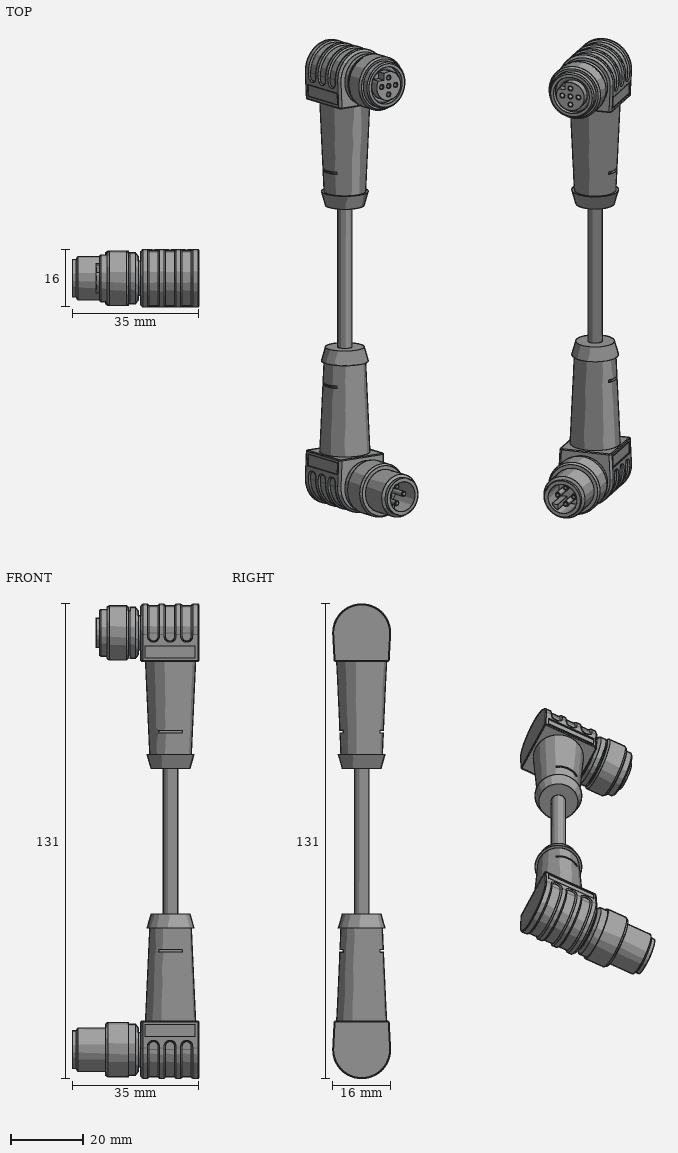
import cadquery as cq
import math


TOTAL_HEIGHT = 131.0
CABLE_DIAMETER = 4.0

HOUSING_RADIUS = 8.0
HOUSING_LEFT = -8.2
HOUSING_RIGHT = 7.9
HOUSING_DEPTH = 7.9
SIDE_DRAFT = math.radians(3)
FRONT_CHAMFER = 0.7
BACK_CHAMFER = 0.3
BASE_CHAMFER = 0.3
AXIS_HEIGHT = TOTAL_HEIGHT / 2 - HOUSING_RADIUS

GROOVE_COUNT = 3
GROOVE_PITCH = 4.6
GROOVE_MIDDLE = -0.1
GROOVE_FLOOR_WIDTH = 2.5
GROOVE_FLOOR_RADIUS = 15.0 / 2
GROOVE_SIDE_ANGLE = 45
GROOVE_FLOOR_END = -2.2
CUT_DEPTH = 0.8

PANEL_LENGTH = 13.9
PANEL_HEIGHT = 3.3
PANEL_CENTER_X = -0.1
PANEL_CENTER_Z = -5.2
PANEL_FLOOR = 7.5

SLEEVE_TOP_RADIUS = 7.0
SLEEVE_BOTTOM_RADIUS = 5.8
SLEEVE_BOTTOM = -33.5
COLLAR_RADIUS = 13.0 / 2
COLLAR_END_RADIUS = 5.4
COLLAR_LENGTH = 3.9
NOTCH_CENTER_Z = -27.2
NOTCH_HEIGHT = 0.7
NOTCH_FLOOR = 5.1

NECK_RADIUS = 9.5 / 2
WAIST_RADIUS = 6.2
RING_RADIUS = 7.1
RING_TAPER_RADIUS = 6.0
NUT_RADIUS = 15.0 / 2
NUT_FRONT_RADIUS = 7.1
NUT_FRONT_TAPER = 0.7
SOCKET_NUT_BACK_CHAMFER = 0.5
RING_TAPER_END = -8.9
RING_BACK = -9.7
RING_FRONT = -11.1
NUT_BACK = -11.7
SOCKET_NUT_FRONT = -17.5
PIN_NUT_FRONT = -18.0

SOCKET_RADIUS = 13.0 / 2
SOCKET_FRONT = -19.6
SOCKET_CHAMFER = 0.4
SOCKET_BORE_RADIUS = 5.2
SOCKET_BORE_DEPTH = 1.8
INSERT_RADIUS = 4.0
INSERT_FRONT = -20.5
SEAL_RADIUS = (SOCKET_BORE_RADIUS + INSERT_RADIUS) / 2
SEAL_WIRE_RADIUS = 0.7
CONTACT_CIRCLE_RADIUS = 2.4
HOLE_DIAMETER = 1.15
HOLE_MOUTH_DIAMETER = 1.5
HOLE_DEPTH = 2.6
KEYWAY_DEPTH = 2.6

PIN_TUBE_RADIUS = 6.0
PIN_TIP_RADIUS = 5.2
PIN_TUBE_FRONT = -27.1
PIN_TIP_LENGTH = 1.0
PIN_TIP_TAPER = 0.5
PIN_BORE_RADIUS = 4.2
PIN_BORE_DEPTH = 8.9
PIN_DIAMETER = 1.5
PIN_LENGTH = 6.3
PIN_TIP_DIAMETER = 1.0

KEYWAY_CORNER = (1.6, 1.8)
KEY_CORNER = (1.8, 2.2)
KEY_SETBACK = 1.3
KEY_ROOT = 0.3


def turned_about_x(profile):
    """Solid of revolution about the plug axis from (x, radius) points."""
    return cq.Workplane("XZ").polyline(profile).close().revolve(360, (0, 0), (1, 0))


def turned_about_z(profile):
    """Solid of revolution about the cable axis from (radius, z) points."""
    return cq.Workplane("XZ").polyline(profile).close().revolve(360, (0, 0), (0, 1))


def rod_along_x(diameter, start_x, end_x, y=0.0, z=0.0):
    return (
        cq.Workplane("YZ", origin=(start_x, 0, 0))
        .center(y, z)
        .circle(diameter / 2)
        .extrude(end_x - start_x)
    )


def groove_cutter(center_x):
    """Trapezoid groove over the round top that runs down to a round end on each side."""
    outer_radius = GROOVE_FLOOR_RADIUS + CUT_DEPTH
    floor_half = GROOVE_FLOOR_WIDTH / 2
    spread = CUT_DEPTH * math.tan(math.radians(GROOVE_SIDE_ANGLE))
    arch = (
        cq.Workplane("XY")
        .polyline([
            (center_x - floor_half, GROOVE_FLOOR_RADIUS),
            (center_x + floor_half, GROOVE_FLOOR_RADIUS),
            (center_x + floor_half + spread, outer_radius),
            (center_x - floor_half - spread, outer_radius),
        ])
        .close()
        .revolve(180, (0, 0), (1, 0))
    )
    arc_center = GROOVE_FLOOR_END + floor_half
    side = (
        cq.Workplane("XZ", origin=(0, -GROOVE_FLOOR_RADIUS, 0))
        .moveTo(center_x - floor_half, 0)
        .lineTo(center_x - floor_half, arc_center)
        .threePointArc((center_x, GROOVE_FLOOR_END), (center_x + floor_half, arc_center))
        .lineTo(center_x + floor_half, 0)
        .close()
        .extrude(CUT_DEPTH, taper=-GROOVE_SIDE_ANGLE)
    )
    return arch.union(side).union(side.mirror("XZ"))


def make_housing():
    tangent_y = HOUSING_RADIUS * math.cos(SIDE_DRAFT)
    tangent_z = -HOUSING_RADIUS * math.sin(SIDE_DRAFT)
    base_half_width = tangent_y - (HOUSING_DEPTH + tangent_z) * math.tan(SIDE_DRAFT)
    housing = (
        cq.Workplane("YZ", origin=(HOUSING_LEFT, 0, 0))
        .moveTo(-tangent_y, tangent_z)
        .threePointArc((0, HOUSING_RADIUS), (tangent_y, tangent_z))
        .lineTo(base_half_width, -HOUSING_DEPTH)
        .lineTo(-base_half_width, -HOUSING_DEPTH)
        .close()
        .extrude(HOUSING_RIGHT - HOUSING_LEFT)
    )
    housing = housing.faces("<X").edges("not <Z").chamfer(FRONT_CHAMFER)
    housing = housing.faces(">X").edges("not <Z").chamfer(BACK_CHAMFER)
    housing = housing.faces("<Z").chamfer(BASE_CHAMFER)

    for index in range(GROOVE_COUNT):
        offset = (index - (GROOVE_COUNT - 1) / 2) * GROOVE_PITCH
        housing = housing.cut(groove_cutter(GROOVE_MIDDLE + offset))

    panel = (
        cq.Workplane("XZ", origin=(0, -PANEL_FLOOR, 0))
        .center(PANEL_CENTER_X, PANEL_CENTER_Z)
        .rect(PANEL_LENGTH, PANEL_HEIGHT)
        .extrude(CUT_DEPTH)
    )
    return housing.cut(panel).cut(panel.mirror("XZ"))


def make_sleeve():
    collar_end = SLEEVE_BOTTOM - COLLAR_LENGTH
    sleeve = turned_about_z([
        (0, -HOUSING_DEPTH),
        (SLEEVE_TOP_RADIUS, -HOUSING_DEPTH),
        (SLEEVE_BOTTOM_RADIUS, SLEEVE_BOTTOM),
        (COLLAR_RADIUS, SLEEVE_BOTTOM),
        (COLLAR_END_RADIUS, collar_end),
        (0, collar_end),
    ])
    notch = (
        cq.Workplane("XZ", origin=(0, -NOTCH_FLOOR, NOTCH_CENTER_Z))
        .rect(2 * SLEEVE_TOP_RADIUS, NOTCH_HEIGHT)
        .extrude(SLEEVE_TOP_RADIUS - NOTCH_FLOOR)
    )
    return sleeve.cut(notch).cut(notch.mirror("XZ"))


def make_neck_and_ring(ring_front):
    return turned_about_x([
        (HOUSING_LEFT + FRONT_CHAMFER, 0),
        (HOUSING_LEFT + FRONT_CHAMFER, NECK_RADIUS),
        (RING_TAPER_END, NECK_RADIUS),
        (RING_TAPER_END, RING_TAPER_RADIUS),
        (RING_BACK, RING_RADIUS),
        (ring_front, RING_RADIUS),
        (ring_front, 0),
    ])


def make_nut(front):
    return turned_about_x([
        (NUT_BACK, 0),
        (NUT_BACK, NUT_RADIUS),
        (front + NUT_FRONT_TAPER, NUT_RADIUS),
        (front, NUT_FRONT_RADIUS),
        (front, 0),
    ])


def contact_positions():
    """(y, z) of the four contacts around the plug axis."""
    for quarter in range(4):
        angle = math.radians(90 * quarter)
        yield CONTACT_CIRCLE_RADIUS * math.cos(angle), CONTACT_CIRCLE_RADIUS * math.sin(angle)


def coding_key(corner, start_x, length, outer_radius):
    """Square-cornered key in the +Y +Z quarter, bounded by a cylinder."""
    block = cq.Workplane("XY").box(length, outer_radius, outer_radius, centered=False)
    block = block.translate((start_x, *corner))
    return block.intersect(rod_along_x(2 * outer_radius, start_x, start_x + length))


def make_socket_coupling():
    """Ring and nut with a waist between them, the socket tube and its contact insert."""
    waist = rod_along_x(2 * WAIST_RADIUS, NUT_BACK, RING_FRONT)
    nut = make_nut(SOCKET_NUT_FRONT).faces(">X").chamfer(SOCKET_NUT_BACK_CHAMFER)
    coupling = make_neck_and_ring(RING_FRONT).union(waist).union(nut)

    bore_floor = SOCKET_FRONT + SOCKET_BORE_DEPTH
    tube = turned_about_x([
        (bore_floor, 0),
        (bore_floor, SOCKET_BORE_RADIUS),
        (SOCKET_FRONT, SOCKET_BORE_RADIUS),
        (SOCKET_FRONT, SOCKET_RADIUS - SOCKET_CHAMFER),
        (SOCKET_FRONT + SOCKET_CHAMFER, SOCKET_RADIUS),
        (NUT_BACK, SOCKET_RADIUS),
        (NUT_BACK, 0),
    ])
    insert = rod_along_x(2 * INSERT_RADIUS, INSERT_FRONT, NUT_BACK)
    insert = insert.cut(coding_key(KEYWAY_CORNER, INSERT_FRONT, KEYWAY_DEPTH, INSERT_RADIUS))
    seal = (
        cq.Workplane("XY")
        .center(bore_floor, SEAL_RADIUS)
        .circle(SEAL_WIRE_RADIUS)
        .revolve(360, (0, -SEAL_RADIUS), (1, -SEAL_RADIUS))
    )
    coupling = coupling.union(tube).union(insert).union(seal)

    mouth_depth = (HOLE_MOUTH_DIAMETER - HOLE_DIAMETER) / 2
    hole = turned_about_x([
        (INSERT_FRONT, 0),
        (INSERT_FRONT, HOLE_MOUTH_DIAMETER / 2),
        (INSERT_FRONT + mouth_depth, HOLE_DIAMETER / 2),
        (INSERT_FRONT + HOLE_DEPTH, HOLE_DIAMETER / 2),
        (INSERT_FRONT + HOLE_DEPTH, 0),
    ])
    coupling = coupling.cut(hole)
    for y, z in contact_positions():
        coupling = coupling.cut(hole.translate((0, y, z)))
    return coupling


def make_pin_coupling():
    """Ring running straight into the nut, the pin tube, its four pins and coding key."""
    bore_floor = PIN_TUBE_FRONT + PIN_BORE_DEPTH
    taper_start = PIN_TUBE_FRONT + PIN_TIP_LENGTH
    tube = turned_about_x([
        (bore_floor, 0),
        (bore_floor, PIN_BORE_RADIUS),
        (PIN_TUBE_FRONT, PIN_BORE_RADIUS),
        (PIN_TUBE_FRONT, PIN_TIP_RADIUS),
        (taper_start, PIN_TIP_RADIUS),
        (taper_start + PIN_TIP_TAPER, PIN_TUBE_RADIUS),
        (NUT_BACK, PIN_TUBE_RADIUS),
        (NUT_BACK, 0),
    ])
    coupling = make_neck_and_ring(NUT_BACK).union(make_nut(PIN_NUT_FRONT)).union(tube)

    for y, z in contact_positions():
        pin = rod_along_x(PIN_DIAMETER, bore_floor - PIN_LENGTH, bore_floor, y, z)
        pin = pin.faces("<X").chamfer((PIN_DIAMETER - PIN_TIP_DIAMETER) / 2)
        coupling = coupling.union(pin)

    key_start = PIN_TUBE_FRONT + KEY_SETBACK
    key_length = PIN_BORE_DEPTH - KEY_SETBACK
    key = coding_key(KEY_CORNER, key_start, key_length, PIN_BORE_RADIUS + KEY_ROOT)
    return coupling.union(key)


angled_grip = make_housing().union(make_sleeve())
socket_plug = angled_grip.union(make_socket_coupling()).translate((0, 0, AXIS_HEIGHT))
pin_plug = angled_grip.union(make_pin_coupling()).mirror("XY").translate((0, 0, -AXIS_HEIGHT))

cable_half_length = AXIS_HEIGHT + SLEEVE_BOTTOM
cable = (
    cq.Workplane("XY", origin=(0, 0, -cable_half_length))
    .circle(CABLE_DIAMETER / 2)
    .extrude(2 * cable_half_length)
)

result = cable.union(socket_plug).union(pin_plug)